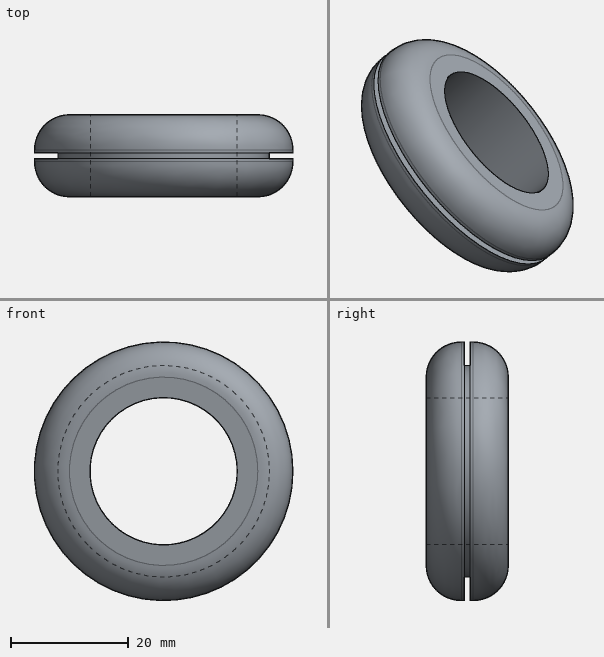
import cadquery as cq

outer_diameter = 44.0
width = 14.0
bore_diameter = 25.0
rim_radius = 6.0
groove_diameter = 36.0
groove_width = 1.0


def cylinder(diameter, length):
    """Cylinder along Y, centred on the origin."""
    start = cq.Workplane("XZ").workplane(offset=-length / 2)
    return start.circle(diameter / 2).extrude(length)


body = cylinder(outer_diameter, width).edges("%CIRCLE").fillet(rim_radius)

groove = cylinder(outer_diameter, groove_width).cut(cylinder(groove_diameter, groove_width))

bore = cylinder(bore_diameter, width)

result = body.cut(groove).cut(bore)